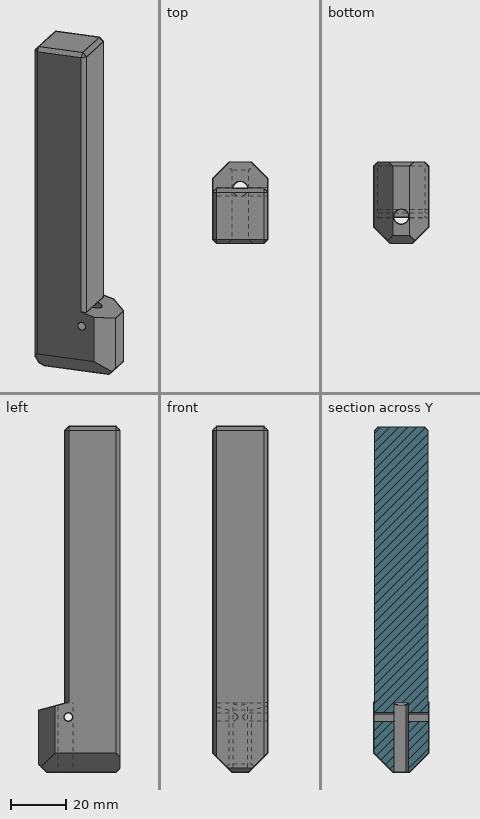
import cadquery as cq
import math

width = 20.0
post_depth = 20.0
height = 125.0
edge_chamfer = 1.5

foot_depth = 29.5
foot_rear_corner = 6.0
foot_side_bevel = 7.0
foot_rear_bevel = 3.0
foot_top_at_post = 25.0
foot_top_angle = 15.0

upright_hole_diameter = 5.4
upright_hole_y = 19.75
cross_hole_diameter = 3.0
cross_hole_y = 18.7
cross_hole_z = 20.0

half_width = width / 2


def plan_outline(depth, front_cut, rear_cut):
    """Rectangle in XY from Y = 0 to depth, with its front and rear corners cut at 45 degrees."""
    return [
        (-half_width + front_cut, 0),
        (half_width - front_cut, 0),
        (half_width, front_cut),
        (half_width, depth - rear_cut),
        (half_width - rear_cut, depth),
        (-half_width + rear_cut, depth),
        (-half_width, depth - rear_cut),
        (-half_width, front_cut),
    ]


def make_post():
    """Upper post, starting inside the foot where its side bevels end."""
    return (
        cq.Workplane("XY", origin=(0, 0, foot_side_bevel))
        .box(width, post_depth, height - foot_side_bevel, centered=(True, False, False))
        .edges("|Z or >Z")
        .chamfer(edge_chamfer)
    )


def make_foot():
    """Foot as the overlap of its plan, side and front outlines."""
    slope = math.tan(math.radians(foot_top_angle))
    top_at_front = foot_top_at_post + post_depth * slope
    top_at_rear = foot_top_at_post - (foot_depth - post_depth) * slope

    plan = (
        cq.Workplane("XY")
        .polyline(plan_outline(foot_depth, edge_chamfer, foot_rear_corner))
        .close()
        .extrude(top_at_front)
    )
    side = (
        cq.Workplane("YZ")
        .polyline([
            (edge_chamfer, 0),
            (foot_depth - foot_rear_bevel, 0),
            (foot_depth, foot_rear_bevel),
            (foot_depth, top_at_rear),
            (0, top_at_front),
            (0, edge_chamfer),
        ])
        .close()
        .extrude(half_width, both=True)
    )
    front = (
        cq.Workplane("XZ")
        .polyline([
            (-half_width + foot_side_bevel, 0),
            (half_width - foot_side_bevel, 0),
            (half_width, foot_side_bevel),
            (half_width, top_at_front),
            (-half_width, top_at_front),
            (-half_width, foot_side_bevel),
        ])
        .close()
        .extrude(-foot_depth)
    )
    return plan.intersect(side).intersect(front)


def make_upright_hole():
    """Hole from the underside of the foot up to where its top meets the post."""
    return (
        cq.Workplane("XY")
        .center(0, upright_hole_y)
        .circle(upright_hole_diameter / 2)
        .extrude(foot_top_at_post)
    )


def make_cross_hole():
    """Pin hole through the full width of the foot."""
    return (
        cq.Workplane("YZ")
        .center(cross_hole_y, cross_hole_z)
        .circle(cross_hole_diameter / 2)
        .extrude(half_width, both=True)
    )


body = make_post().union(make_foot())
result = body.cut(make_upright_hole()).cut(make_cross_hole())